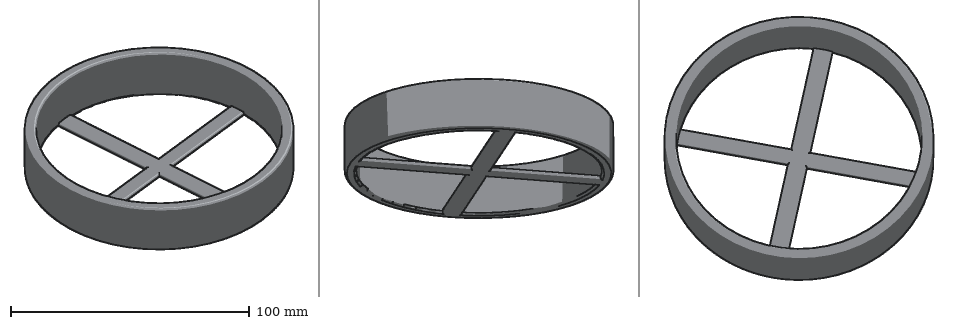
import cadquery as cq

outer_diameter = 113.0
inner_diameter = 103.0
ring_height = 22.0
edge_radius = 1.0
bottom_chamfer = 1.0

bar_along_x_width = 8.2
bar_along_y_width = 7.2
bar_thickness = 1.9
bar_edge_radius = 0.7

bar_length = (outer_diameter + inner_diameter) / 2


def make_ring():
    """Ring with rounded rims and a bottom outer chamfer blended into the wall."""
    largest_circle = cq.selectors.RadiusNthSelector(-1)
    ring = cq.Workplane("XY").circle(outer_diameter / 2).circle(inner_diameter / 2).extrude(ring_height)
    ring = ring.faces("<Z").edges(largest_circle).chamfer(bottom_chamfer)

    bottom_outer_rim = ring.faces("<Z").edges(largest_circle).val()
    rims = [rim for rim in ring.edges("%CIRCLE").vals() if not rim.isSame(bottom_outer_rim)]
    return ring.newObject(rims).fillet(edge_radius)


def make_bar(length_x, length_y):
    """Flat bar centred on the ring axis, standing on the ring's bottom plane."""
    return cq.Workplane("XY").box(length_x, length_y, bar_thickness, centered=(True, True, False))


def make_cross():
    """Two bars joined at the centre, with rounded upper and lower edges."""
    cross = make_bar(bar_length, bar_along_x_width).union(make_bar(bar_along_y_width, bar_length))
    return cross.faces("|Z").edges().fillet(bar_edge_radius)


result = make_ring().union(make_cross())